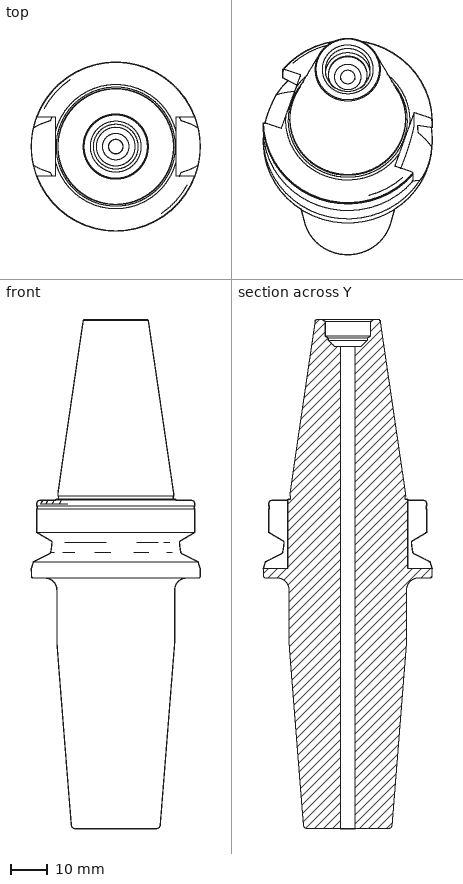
import cadquery as cq
import math


total_length = 138.4
shank_length = 47.3

taper_radius = 15.8
taper_per_length = 7 / 48
shank_edge = 0.3

taper_land = 0.7
relief_radius = 15.6
collar_top_radius = 16.2
collar_base_radius = 16.9
collar_height = 0.3

flange_radius = 23.0
flange_top = -1.8
flange_round = 1.0
mark_top = -3.3
mark_height = 0.8
mark_depth = 0.1
upper_rim_bottom = -10.5
grip_radius = 19.1
grip_top = -13.0
grip_bottom = -16.2
grip_fillet = 0.4
lower_rim_top = -18.5
flange_bottom = -23.0
lower_round = 0.5

neck_radius = 16.0
neck_fillet = 3.2
cone_top = -40.4
tip_radius = 12.0
tip_round = 1.1

slot_width = 16.0
slot_half_distance = 16.3
slot_bottom = -20.3

pilot_radius = 6.1
pilot_mouth_radius = 6.9
pilot_mouth_depth = 0.5
pilot_depth = 4.5
pilot_step_angle = 60.0
thread_radius = 5.3
thread_depth = 5.7
seat_radius = 3.6
coolant_radius = 2.0

shank_top = shank_length
nose_bottom = shank_length - total_length
shank_small_radius = taper_radius - taper_per_length * shank_length
arc_mid = 1 - math.sqrt(0.5)


def make_body():
    """Revolve the outer profile, drawn as (radius, z), about the Z axis."""
    mark_bottom = mark_top - mark_height
    mark_radius = flange_radius - mark_depth
    profile = (
        cq.Workplane("XZ")
        .moveTo(0, shank_top)
        .lineTo(shank_small_radius - shank_edge, shank_top)
        .lineTo(shank_small_radius, shank_top - shank_edge)
        .lineTo(taper_radius, 0)
        .lineTo(taper_radius, -taper_land)
        .lineTo(relief_radius, -taper_land)
        .lineTo(relief_radius, flange_top + collar_height)
        .lineTo(collar_top_radius, flange_top + collar_height)
        .lineTo(collar_base_radius, flange_top)
        .lineTo(flange_radius - flange_round, flange_top)
        .threePointArc(
            (flange_radius - flange_round * arc_mid, flange_top - flange_round * arc_mid),
            (flange_radius, flange_top - flange_round),
        )
        .lineTo(flange_radius, mark_top)
        .lineTo(mark_radius, mark_top)
        .lineTo(mark_radius, mark_bottom)
        .lineTo(flange_radius, mark_bottom)
        .lineTo(flange_radius, upper_rim_bottom)
        .lineTo(grip_radius, grip_top)
        .lineTo(grip_radius, grip_bottom)
        .lineTo(flange_radius, lower_rim_top)
        .lineTo(flange_radius, flange_bottom + lower_round)
        .threePointArc(
            (flange_radius - lower_round * arc_mid, flange_bottom + lower_round * arc_mid),
            (flange_radius - lower_round, flange_bottom),
        )
        .lineTo(neck_radius + neck_fillet, flange_bottom)
        .threePointArc(
            (neck_radius + neck_fillet * arc_mid, flange_bottom - neck_fillet * arc_mid),
            (neck_radius, flange_bottom - neck_fillet),
        )
        .lineTo(neck_radius, cone_top)
        .lineTo(tip_radius, nose_bottom)
        .lineTo(0, nose_bottom)
        .close()
    )
    body = profile.revolve(360, (0, 0, 0), (0, 1, 0))
    on_axis = 0.1
    grip_root = cq.selectors.BoxSelector(
        (-on_axis, -on_axis, grip_bottom - on_axis), (on_axis, on_axis, grip_top + on_axis)
    )
    body = body.edges(grip_root).fillet(grip_fillet)
    return body.faces("<Z").edges().fillet(tip_round)


def make_bore():
    """Solid of the stepped drawbar bore and the coolant hole through the part."""
    pilot_bottom = shank_top - pilot_depth
    step_height = (pilot_radius - thread_radius) / math.tan(math.radians(pilot_step_angle))
    thread_top = pilot_bottom - step_height
    thread_bottom = shank_top - thread_depth
    seat_z = thread_bottom - (thread_radius - seat_radius)
    return (
        cq.Workplane("XZ")
        .moveTo(0, shank_top)
        .lineTo(pilot_mouth_radius, shank_top)
        .lineTo(pilot_radius, shank_top - pilot_mouth_depth)
        .lineTo(pilot_radius, pilot_bottom)
        .lineTo(thread_radius, thread_top)
        .lineTo(thread_radius, thread_bottom)
        .lineTo(seat_radius, seat_z)
        .lineTo(coolant_radius, seat_z)
        .lineTo(coolant_radius, nose_bottom)
        .lineTo(0, nose_bottom)
        .close()
        .revolve(360, (0, 0, 0), (0, 1, 0))
    )


def make_drive_slot(side):
    """Round-ended slot cutter on the +X (side = 1) or -X (side = -1) flank."""
    half_width = slot_width / 2
    round_center = slot_bottom + half_width
    return (
        cq.Workplane("YZ")
        .workplane(offset=side * slot_half_distance)
        .moveTo(-half_width, 0)
        .lineTo(-half_width, round_center)
        .threePointArc((0, slot_bottom), (half_width, round_center))
        .lineTo(half_width, 0)
        .close()
        .extrude(side * flange_radius)
    )


result = make_body().cut(make_bore())
for side in (1, -1):
    result = result.cut(make_drive_slot(side))